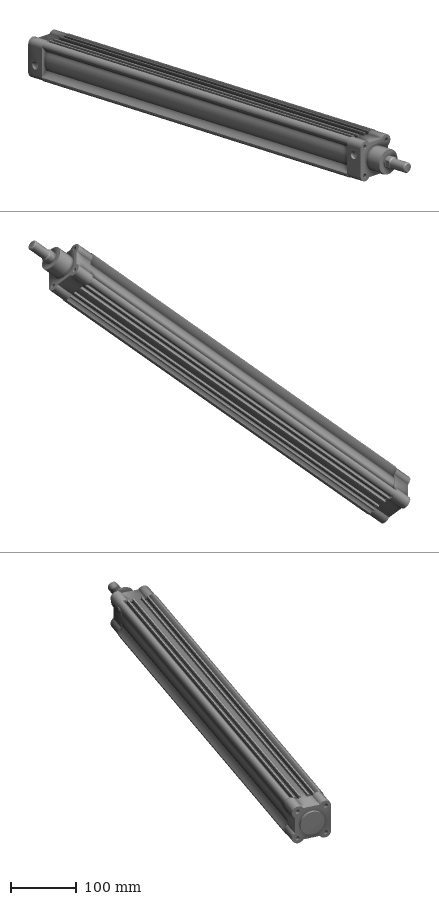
import cadquery as cq
import math

length = 779.0
cap_length = 29.5
rear_boss_height = 4.0
rear_cap_front = rear_boss_height + cap_length
front_cap_face = 710.5
front_cap_rear = front_cap_face - cap_length
front_boss_height = 27.0
front_boss_face = front_cap_face + front_boss_height
rod_shoulder = 749.5

width = 65.0
half_width = width / 2
post_radius = 10.0
post_offset = half_width - post_radius
recess_depth = 5.0
recess_level = half_width - recess_depth
boss_diameter = 40.0
screw_hole_offset = 23.0
screw_hole_diameter = 7.0
screw_hole_depth = 15.5
port_offset = 8.5
port_diameter = 12.5
port_depth = 12.0

barrel_diameter = 55.0
corner_radius = 8.0
corner_band_width = corner_radius * math.sqrt(2)
slot_center = 12.0
slot_width = 7.0
slot_floor = 25.0
rail_thickness = 2.0
rail_top = 32.0

rod_diameter = 20.0
thread_diameter = 16.0
shoulder_chamfer = (rod_diameter - thread_diameter) / 2
tip_chamfer = 1.5
flat_start = 740.0
flat_across = 17.0


def axial_plane(x):
    """Plane across the axis at x, with local axes along global Y and Z."""
    return cq.Workplane("YZ", origin=(x, 0, 0))


def axial_cylinder(start, end, diameter):
    return axial_plane(start).circle(diameter / 2).extrude(end - start)


def cap_block(start):
    """Cap with round corner posts, recessed on +Y, +Z and -Z and flush on -Y."""
    core = axial_plane(start).rect(2 * post_offset, 2 * recess_level).extrude(cap_length)
    side_depth = half_width + recess_level
    side_center = (recess_level - half_width) / 2
    sides = axial_plane(start).center(side_center, 0).rect(side_depth, 2 * post_offset).extrude(cap_length)
    posts = (
        axial_plane(start)
        .rect(2 * post_offset, 2 * post_offset, forConstruction=True)
        .vertices()
        .circle(post_radius)
        .extrude(cap_length)
    )
    return core.union(sides).union(posts)


def screw_holes(outer_face, inward):
    """Four blind holes, inward being +1 or -1 along X."""
    return (
        axial_plane(outer_face)
        .rect(2 * screw_hole_offset, 2 * screw_hole_offset, forConstruction=True)
        .vertices()
        .circle(screw_hole_diameter / 2)
        .extrude(inward * screw_hole_depth)
    )


def air_port(x, z):
    """Blind port drilled into the flush -Y face."""
    return (
        cq.Workplane("XZ", origin=(x, -half_width, z))
        .circle(port_diameter / 2)
        .extrude(-port_depth)
    )


def make_rear_cap():
    boss = axial_cylinder(0, rear_boss_height, boss_diameter)
    return (
        cap_block(rear_boss_height)
        .union(boss)
        .cut(screw_holes(rear_boss_height, 1))
        .cut(air_port(rear_boss_height + cap_length / 2, -port_offset))
    )


def make_front_cap():
    boss = axial_cylinder(front_cap_face, front_boss_face, boss_diameter)
    rod_bore = axial_cylinder(front_cap_rear, front_boss_face, rod_diameter)
    return (
        cap_block(front_cap_rear)
        .union(boss)
        .cut(rod_bore)
        .cut(screw_holes(front_cap_face, -1))
        .cut(air_port(front_cap_face - cap_length / 2, port_offset))
    )


def make_tube():
    """Round barrel with four diagonal corner ribs and two sensor slots on top and on bottom."""
    tube_length = front_cap_rear - rear_cap_front
    start = axial_plane(rear_cap_front)
    envelope = start.rect(width, width).extrude(tube_length).edges("|X").fillet(corner_radius)

    corner_ribs = start.rect(2 * width, corner_band_width).extrude(tube_length)
    corner_ribs = corner_ribs.union(corner_ribs.rotate((0, 0, 0), (1, 0, 0), 90))
    corner_ribs = corner_ribs.rotate((0, 0, 0), (1, 0, 0), 45).intersect(envelope)

    tube = start.circle(barrel_diameter / 2).extrude(tube_length).union(corner_ribs)
    rail_block_width = slot_width + 2 * rail_thickness
    slot_depth = rail_top - slot_floor
    for y in (-slot_center, slot_center):
        rails = start.center(y, 0).rect(rail_block_width, 2 * rail_top).extrude(tube_length)
        tube = tube.union(rails)
        for side in (-1, 1):
            slot_middle = side * (slot_floor + slot_depth / 2)
            slot = start.center(y, slot_middle).rect(slot_width, slot_depth).extrude(tube_length)
            tube = tube.cut(slot)
    return tube


def make_rod():
    """Rod with wrench flats on -Y and +Y, and a thinner threaded end."""
    shank = axial_cylinder(front_cap_rear, rod_shoulder, rod_diameter).faces(">X").chamfer(shoulder_chamfer)
    flats = (
        axial_plane(flat_start)
        .rect(flat_across, rod_diameter)
        .extrude(rod_shoulder - flat_start)
    )
    plain_shank = axial_cylinder(front_cap_rear, flat_start, rod_diameter)
    threaded_end = axial_cylinder(rod_shoulder, length, thread_diameter).faces(">X").chamfer(tip_chamfer)
    return shank.intersect(plain_shank.union(flats)).union(threaded_end)


rear_cap = make_rear_cap()
tube = make_tube()
front_cap = make_front_cap()
rod = make_rod()

result = cq.Compound.makeCompound([rear_cap.val(), tube.val(), front_cap.val(), rod.val()])